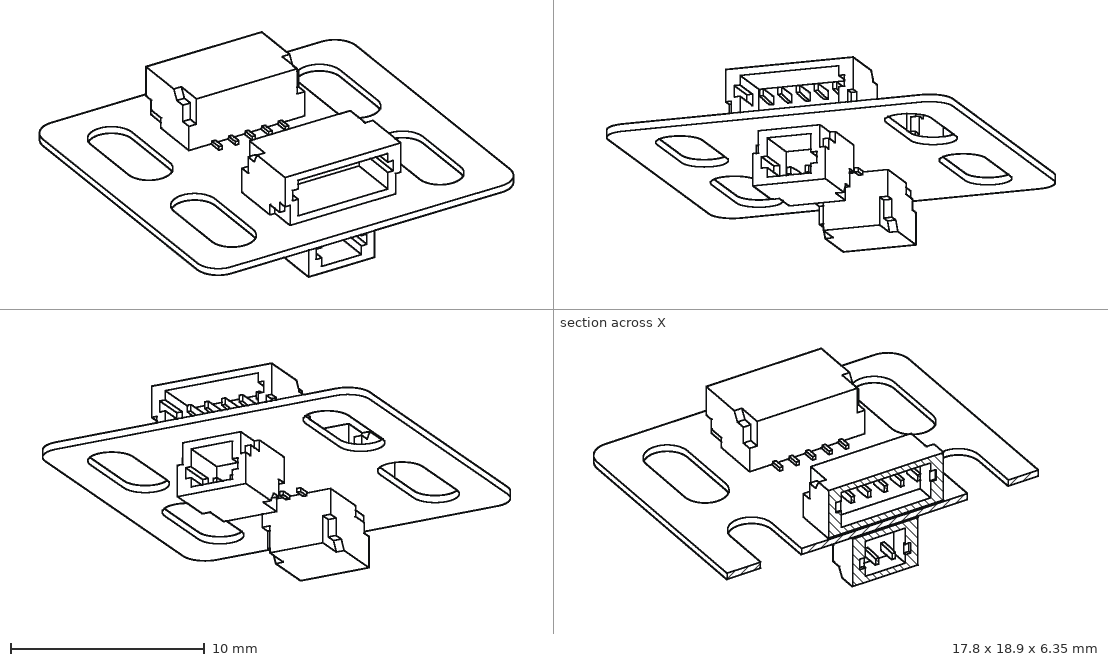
import cadquery as cq

BOARD_X = 17.78
BOARD_Y = 18.92
BOARD_THICKNESS = 0.4
BOARD_CORNER_RADIUS = 1.29

SLOT_LENGTH = 6.17
SLOT_WIDTH = 2.48
SLOT_SPACING_X = 8.23
SLOT_SPACING_Y = 12.56
SLOT_GRID_X = 0.11
SLOT_GRID_Y = -0.11

OVERALL_HEIGHT = 6.35
HOUSING_CLEARANCE = 0.05
HOUSING_TOP = (OVERALL_HEIGHT - BOARD_THICKNESS) / 2
HOUSING_LENGTH = 4.25
PIN_PITCH = 1.0
HOUSING_END_MARGIN = 1.5

CAVITY_END_WALL = 0.8
CAVITY_ROOF = 0.4
CAVITY_HEIGHT = 2.1
CAVITY_BOTTOM = HOUSING_TOP - CAVITY_ROOF - CAVITY_HEIGHT
CAVITY_DEPTH = 2.84
GROOVE_DEPTH = 0.32
GROOVE_HEIGHT = 0.6
GROOVE_LENGTH = 1.9
GROOVE_SILL = 0.98
GROOVE_BOTTOM = CAVITY_BOTTOM + GROOVE_SILL

NOTCH_LONG = 1.5
NOTCH_SHORT = 0.6
NOTCH_RAMP_RUN = 0.3
NOTCH_LEDGE = 0.53
FRONT_NOTCH_HEIGHT = 1.2
FRONT_NOTCH_CUT = 0.3
REAR_NOTCH_CUT = 0.45

PIN_WIDTH = 0.2
PIN_TIP_HEIGHT = 0.36
PIN_ROOT_HEIGHT = 0.44
PIN_TAPER_LENGTH = 0.98
PIN_RISE = 1.65
PIN_TOP = CAVITY_BOTTOM + PIN_RISE
PIN_TIP_SETBACK = 1.32
TAIL_LENGTH = 0.68
TAIL_THICKNESS = 0.2

UPPER_MOUTH_X = 6.85
LOWER_MOUTH_X = 6.77
CONNECTOR_MID_Y = -0.19
CONNECTOR_STAGGER_Y = 0.02
UPPER_PIN_COUNT = 5
LOWER_PIN_COUNT = 2


def box(x_min, x_max, y_width, z_min, z_max):
    """Box centred on y = 0."""
    block = cq.Workplane("XY").box(x_max - x_min, y_width, z_max - z_min, centered=(False, True, False))
    return block.translate((x_min, 0, z_min))


def make_board():
    slot_centers = [
        (SLOT_GRID_X + side_x * SLOT_SPACING_X / 2, SLOT_GRID_Y + side_y * SLOT_SPACING_Y / 2)
        for side_x in (-1, 1)
        for side_y in (-1, 1)
    ]
    plate = cq.Workplane("XY").box(BOARD_X, BOARD_Y, BOARD_THICKNESS)
    plate = plate.edges("|Z").fillet(BOARD_CORNER_RADIUS)
    slots = (
        cq.Workplane("XY")
        .pushPoints(slot_centers)
        .slot2D(SLOT_LENGTH, SLOT_WIDTH)
        .extrude(BOARD_THICKNESS, both=True)
    )
    return plate.cut(slots)


def cut_end_notches(housing, width, outline, depth):
    """Sink an XZ outline to the given depth into both end faces."""
    for face_y in (width / 2, depth - width / 2):
        notch = cq.Workplane("XZ", origin=(0, face_y, 0)).polyline(outline).close().extrude(depth)
        housing = housing.cut(notch)
    return housing


def make_housing(width):
    cavity_width = width - 2 * CAVITY_END_WALL
    housing = box(0, HOUSING_LENGTH, width, HOUSING_CLEARANCE, HOUSING_TOP)
    housing = housing.cut(
        box(0, CAVITY_DEPTH, cavity_width, CAVITY_BOTTOM, CAVITY_BOTTOM + CAVITY_HEIGHT)
    )
    housing = housing.cut(
        box(0, GROOVE_LENGTH, cavity_width + 2 * GROOVE_DEPTH, GROOVE_BOTTOM, GROOVE_BOTTOM + GROOVE_HEIGHT)
    )

    front_step = HOUSING_CLEARANCE + NOTCH_SHORT
    front_top = HOUSING_CLEARANCE + FRONT_NOTCH_HEIGHT
    front_outline = [
        (0, HOUSING_CLEARANCE),
        (NOTCH_LONG, HOUSING_CLEARANCE),
        (NOTCH_LONG, front_step),
        (NOTCH_LEDGE, front_step),
        (NOTCH_LEDGE, front_top),
        (0, front_top),
    ]
    housing = cut_end_notches(housing, width, front_outline, FRONT_NOTCH_CUT)

    ramp_top_x = HOUSING_LENGTH - NOTCH_LONG
    ramp_foot_x = ramp_top_x + NOTCH_RAMP_RUN
    rear_step_x = HOUSING_LENGTH - NOTCH_SHORT
    ledge_z = HOUSING_TOP - NOTCH_LEDGE
    rear_bottom = HOUSING_TOP - NOTCH_LONG
    rear_outline = [
        (ramp_top_x, HOUSING_TOP),
        (ramp_foot_x, ledge_z),
        (rear_step_x, ledge_z),
        (rear_step_x, rear_bottom),
        (HOUSING_LENGTH, rear_bottom),
        (HOUSING_LENGTH, HOUSING_TOP),
    ]
    return cut_end_notches(housing, width, rear_outline, REAR_NOTCH_CUT)


def make_contact():
    """Contact pin that tapers to its tip in the cavity, and the solder tail that rests on the board."""
    pin_outline = [
        (PIN_TIP_SETBACK, PIN_TOP),
        (CAVITY_DEPTH, PIN_TOP),
        (CAVITY_DEPTH, PIN_TOP - PIN_ROOT_HEIGHT),
        (PIN_TIP_SETBACK + PIN_TAPER_LENGTH, PIN_TOP - PIN_ROOT_HEIGHT),
        (PIN_TIP_SETBACK, PIN_TOP - PIN_TIP_HEIGHT),
    ]
    pin = cq.Workplane("XZ").polyline(pin_outline).close().extrude(PIN_WIDTH / 2, both=True)
    tail = box(CAVITY_DEPTH, HOUSING_LENGTH + TAIL_LENGTH, PIN_WIDTH, 0, TAIL_THICKNESS)
    return pin, tail


def make_connector(pin_count):
    """One connector standing on z = 0 with its mouth at x = 0."""
    pin_span = (pin_count - 1) * PIN_PITCH
    connector = make_housing(pin_span + 2 * HOUSING_END_MARGIN)
    for index in range(pin_count):
        for piece in make_contact():
            connector = connector.union(piece.translate((0, index * PIN_PITCH - pin_span / 2, 0)))
    return connector


def place_connectors():
    """A facing pair on the upper side of the board and another on the lower side."""
    placed = []
    for side_z, pin_count, mouth_x in (
        (1, UPPER_PIN_COUNT, UPPER_MOUTH_X),
        (-1, LOWER_PIN_COUNT, LOWER_MOUTH_X),
    ):
        for side_x in (-1, 1):
            connector = make_connector(pin_count)
            if side_z < 0:
                connector = connector.mirror("XY")
            if side_x > 0:
                connector = connector.mirror("YZ")
            mid_y = CONNECTOR_MID_Y + side_x * side_z * CONNECTOR_STAGGER_Y
            placed.append(
                connector.translate((side_x * mouth_x, mid_y, side_z * BOARD_THICKNESS / 2))
            )
    return placed


board = make_board()
connectors = place_connectors()
result = cq.Compound.makeCompound([board.val(), *[connector.val() for connector in connectors]])